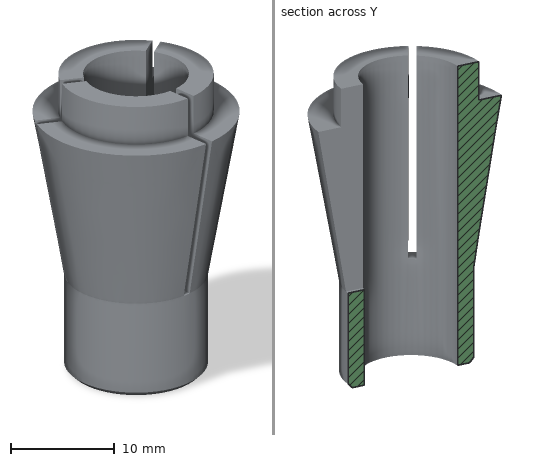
import cadquery as cq

total_height = 31.3
flange_diameter = 20.0
collar_diameter = 15.0
shank_diameter = 13.9
bore_diameter = 10.2

collar_height = 4.0
shank_height = 10.02
taper_top = total_height - collar_height

base_chamfer = 0.5
slot_width = 0.8
slot_count = 3


def turned_body():
    """Chamfered shank, widening taper and top collar around a through bore."""
    bore_radius = bore_diameter / 2
    shank_radius = shank_diameter / 2
    flange_radius = flange_diameter / 2
    collar_radius = collar_diameter / 2
    half_section = [
        (bore_radius, 0),
        (shank_radius - base_chamfer, 0),
        (shank_radius, base_chamfer),
        (shank_radius, shank_height),
        (flange_radius, taper_top),
        (collar_radius, taper_top),
        (collar_radius, total_height),
        (bore_radius, total_height),
    ]
    return cq.Workplane("XZ").polyline(half_section).close().revolve(360, (0, 0), (0, 1))


def radial_slot(angle):
    """Cutter from the axis outwards, from the top down to the shank."""
    return (
        cq.Workplane("XY")
        .workplane(offset=shank_height)
        .rect(flange_diameter, slot_width)
        .extrude(total_height - shank_height)
        .translate((flange_diameter / 2, 0, 0))
        .rotate((0, 0, 0), (0, 0, 1), angle)
    )


result = turned_body()

for index in range(slot_count):
    result = result.cut(radial_slot(index * 360 / slot_count))